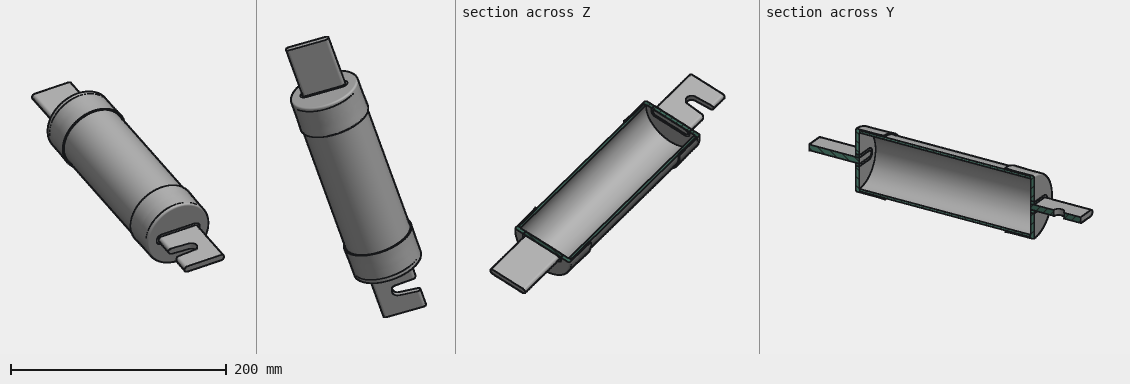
import cadquery as cq
import math

overall_length = 295.3
body_length = 194.3
mid_x = overall_length / 2
body_start = mid_x - body_length / 2

tube_diameter = 63.5
tube_bore = 57.3

cap_diameter = 65.5
flare_diameter = 66.5
cap_length = 31.5
cap_straight = 14.0
cap_wall = 4.0
rim_radius = 1.92

bushing_width = 45.8
bushing_thickness = 11.5

blade_width = 41.5
blade_thickness = 6.5
blade_length = body_start + cap_wall

notch_x = 271.3
notch_depth = 25.7
notch_tip_radius = 5.45
notch_mouth_width = 13.5
notch_corner_radius = 1.8


def rounded_bar(start_x, length, width, thickness):
    """Flat bar along X whose long edges are full rounds."""
    return (
        cq.Workplane("YZ", origin=(start_x, 0, 0))
        .slot2D(width, thickness)
        .extrude(length)
    )


def mirror_to_far_end(body):
    return body.mirror("YZ", (mid_x, 0, 0))


def make_tube():
    inner_length = body_length - 2 * cap_wall
    return (
        cq.Workplane("YZ", origin=(body_start + cap_wall, 0, 0))
        .circle(tube_diameter / 2)
        .circle(tube_bore / 2)
        .extrude(inner_length)
    )


def make_cap():
    """Near-end cap, revolved about X and slotted for its bushing."""
    cap_radius = cap_diameter / 2
    cup_radius = tube_diameter / 2
    inner_face = body_start + cap_wall
    skirt_end = body_start + cap_length
    rim_offset = rim_radius * (1 - math.sqrt(0.5))
    cap = (
        cq.Workplane("XY")
        .moveTo(body_start, 0)
        .lineTo(body_start, cap_radius - rim_radius)
        .threePointArc(
            (body_start + rim_offset, cap_radius - rim_offset),
            (body_start + rim_radius, cap_radius),
        )
        .lineTo(body_start + cap_straight, cap_radius)
        .lineTo(skirt_end, flare_diameter / 2)
        .lineTo(skirt_end, cup_radius)
        .lineTo(inner_face, cup_radius)
        .lineTo(inner_face, 0)
        .close()
        .revolve(360, (0, 0, 0), (1, 0, 0))
    )
    return cap.cut(rounded_bar(body_start, cap_wall, bushing_width, bushing_thickness))


def make_bushing():
    """Near-end bushing: fills the cap slot and holds the blade."""
    bushing = rounded_bar(body_start, cap_wall, bushing_width, bushing_thickness)
    return bushing.cut(rounded_bar(body_start, cap_wall, blade_width, blade_thickness))


def make_blade():
    """Plain near-end blade."""
    return rounded_bar(0, blade_length, blade_width, blade_thickness)


def make_notch():
    """Cutter for the notch: round tip, straight tapered sides, flared mouth corners."""
    edge_y = -blade_width / 2
    tip_y = edge_y + notch_depth
    shoulder_y = tip_y - notch_tip_radius
    half_mouth = notch_mouth_width / 2
    corner_y = edge_y + notch_corner_radius
    corner_offset = notch_corner_radius * (1 - math.sqrt(0.5))
    half_flare = half_mouth + notch_corner_radius
    return (
        cq.Workplane("XY", origin=(notch_x, 0, -blade_thickness / 2))
        .moveTo(-notch_tip_radius, shoulder_y)
        .threePointArc((0, tip_y), (notch_tip_radius, shoulder_y))
        .lineTo(half_mouth, corner_y)
        .threePointArc((half_mouth + corner_offset, edge_y + corner_offset), (half_flare, edge_y))
        .lineTo(-half_flare, edge_y)
        .threePointArc((-half_mouth - corner_offset, edge_y + corner_offset), (-half_mouth, corner_y))
        .close()
        .extrude(blade_thickness)
    )


tube = make_tube()
cap = make_cap()
bushing = make_bushing()
blade = make_blade()
notched_blade = mirror_to_far_end(blade).cut(make_notch())

bodies = [tube.val(), blade.val(), notched_blade.val()]
for end_part in (cap, bushing):
    bodies.append(end_part.val())
    bodies.append(mirror_to_far_end(end_part).val())

result = cq.Compound.makeCompound(bodies)